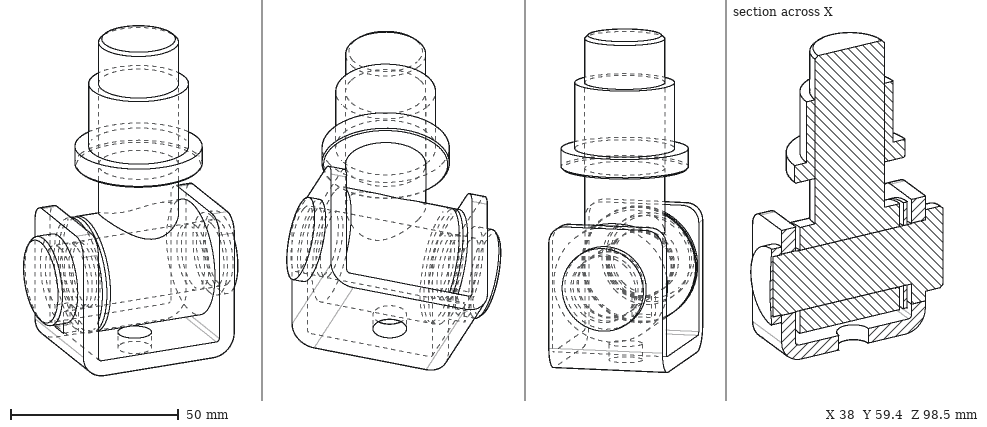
import cadquery as cq

TOTAL_HEIGHT = 98.5

YOKE_WIDTH = 35.0
YOKE_LENGTH = 49.4
YOKE_HEIGHT = 43.9
PLATE = 4.9
YOKE_FRONT = -26.0
YOKE_BACK = YOKE_FRONT + YOKE_LENGTH
YOKE_CENTER = (YOKE_FRONT + YOKE_BACK) / 2
EAR_CORNER_RADIUS = 5.0
OUTER_BEND_RADIUS = 7.0
INNER_BEND_RADIUS = 1.0
BASE_HOLE_DIAMETER = 10.0

PIN_DIAMETER = 20.0
PIN_HEIGHT = 26.0
HEAD_DIAMETER = 27.0
HEAD_LENGTH = 6.0
HEAD_CHAMFER = 1.0
LUG_WIDTH = 6.0
LUG_REACH = 16.45

CAP_DIAMETER = 25.0
CAP_RIM = 3.4
CAP_DOME = 0.6
CAP_RECESS = 3.0

EYE_DIAMETER = 35.0
EYE_LENGTH = 34.2
POST_DIAMETER = 23.9
POST_CHAMFER = 1.0

WASHER_THICKNESS = 1.5
WASHER_GAP = 1.2
WASHER_BACK = -EYE_LENGTH / 2 - WASHER_GAP

SLEEVE_DIAMETER = 29.8
SLEEVE_LENGTH = 20.0
FLANGE_DIAMETER = 38.0
FLANGE_THICKNESS = 6.0
FLANGE_CHAMFER = 0.5
POST_ABOVE_SLEEVE = 14.3
FLANGE_BOTTOM = TOTAL_HEIGHT - POST_ABOVE_SLEEVE - SLEEVE_LENGTH - FLANGE_THICKNESS


def cylinder_along_y(diameter, start, end):
    """Solid cylinder on the pin axis, from Y = start to the larger Y = end."""
    plane = cq.Plane(origin=(0, start, PIN_HEIGHT), xDir=(1, 0, 0), normal=(0, 1, 0))
    return cq.Workplane(plane).circle(diameter / 2).extrude(end - start)


def make_lug():
    """Block as deep as the front ear, reaching down from the pin axis."""
    return (
        cq.Workplane("XY")
        .box(LUG_WIDTH, PLATE, LUG_REACH, centered=(True, False, False))
        .translate((0, YOKE_FRONT, PIN_HEIGHT - LUG_REACH))
    )


def make_yoke():
    outside = (
        cq.Workplane("XY")
        .box(YOKE_WIDTH, YOKE_LENGTH, YOKE_HEIGHT, centered=(True, True, False))
        .translate((0, YOKE_CENTER, 0))
        .edges("|X and <Z")
        .fillet(OUTER_BEND_RADIUS)
        .edges("|Y and >Z")
        .fillet(EAR_CORNER_RADIUS)
    )
    inside = (
        cq.Workplane("XY")
        .box(YOKE_WIDTH, YOKE_LENGTH - 2 * PLATE, YOKE_HEIGHT, centered=(True, True, False))
        .translate((0, YOKE_CENTER, PLATE))
        .edges("|X and <Z")
        .fillet(INNER_BEND_RADIUS)
    )
    base_hole = (
        cq.Workplane("XY")
        .center(0, YOKE_CENTER)
        .circle(BASE_HOLE_DIAMETER / 2)
        .extrude(PLATE)
    )
    pin_bore = cylinder_along_y(PIN_DIAMETER, YOKE_FRONT, YOKE_BACK)
    return outside.cut(inside).cut(base_hole).cut(pin_bore).cut(make_lug())


def make_pin():
    head = (
        cylinder_along_y(HEAD_DIAMETER, YOKE_FRONT - HEAD_LENGTH, YOKE_FRONT)
        .faces("<Y")
        .edges()
        .chamfer(HEAD_CHAMFER)
    )
    shank = cylinder_along_y(PIN_DIAMETER, YOKE_FRONT, YOKE_BACK + CAP_RECESS)
    return head.union(shank).union(make_lug())


def make_cap():
    rim_radius = CAP_DIAMETER / 2
    dome_radius = (rim_radius**2 + CAP_DOME**2) / (2 * CAP_DOME)
    rim_end = YOKE_BACK + CAP_RIM
    dome = (
        cq.Workplane("XY")
        .sphere(dome_radius)
        .translate((0, rim_end + CAP_DOME - dome_radius, PIN_HEIGHT))
    )
    recess = cylinder_along_y(PIN_DIAMETER, YOKE_BACK, YOKE_BACK + CAP_RECESS)
    blank = cylinder_along_y(CAP_DIAMETER, YOKE_BACK, rim_end + CAP_DOME)
    return blank.intersect(dome).cut(recess)


def make_eye_post():
    eye = cylinder_along_y(EYE_DIAMETER, -EYE_LENGTH / 2, EYE_LENGTH / 2)
    post = (
        cq.Workplane("XY")
        .workplane(offset=PIN_HEIGHT)
        .circle(POST_DIAMETER / 2)
        .extrude(TOTAL_HEIGHT - PIN_HEIGHT)
        .faces(">Z")
        .edges()
        .chamfer(POST_CHAMFER)
    )
    bore = cylinder_along_y(PIN_DIAMETER, -EYE_LENGTH / 2, EYE_LENGTH / 2)
    return eye.union(post).cut(bore)


def make_washer():
    front = WASHER_BACK - WASHER_THICKNESS
    bore = cylinder_along_y(PIN_DIAMETER, front, WASHER_BACK)
    return cylinder_along_y(EYE_DIAMETER, front, WASHER_BACK).cut(bore)


def make_sleeve():
    flange = (
        cq.Workplane("XY")
        .workplane(offset=FLANGE_BOTTOM)
        .circle(FLANGE_DIAMETER / 2)
        .extrude(FLANGE_THICKNESS)
        .faces("<Z")
        .edges()
        .chamfer(FLANGE_CHAMFER)
    )
    length = FLANGE_THICKNESS + SLEEVE_LENGTH
    base = cq.Workplane("XY").workplane(offset=FLANGE_BOTTOM)
    tube = base.circle(SLEEVE_DIAMETER / 2).extrude(length)
    bore = base.circle(POST_DIAMETER / 2).extrude(length)
    return flange.union(tube).cut(bore)


yoke = make_yoke()
pin = make_pin()
cap = make_cap()
eye_post = make_eye_post()
washer = make_washer()
sleeve = make_sleeve()

result = cq.Compound.makeCompound(
    [yoke.val(), pin.val(), cap.val(), eye_post.val(), washer.val(), sleeve.val()]
)